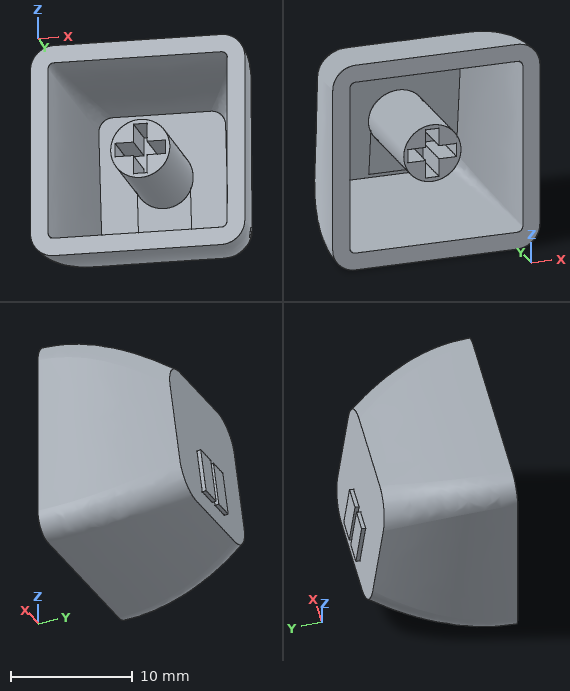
import cadquery as cq
import math

rim_size = 18.1
rim_radius = 2.0
wall = 1.5
tilt = 7.0
cap_height = 11.2
top_width = 12.81
top_length = 12.58
top_radius = 2.66
outer_rise = 5.43

ceiling_width = 10.7
ceiling_length = 10.72
ceiling_radius = 1.2
ceiling_height = cap_height - wall / math.cos(math.radians(tilt))
inner_rise = outer_rise * ceiling_height / cap_height

section_count = 5

stem_diameter = 5.0
stem_inset = 1.0
cross_length = 4.25
cross_width = 1.15
cross_depth = 3.98

block_width = 4.49
block_length = 4.63
legend_center = -2.55
block_thickness = wall / 2
pad_length = 3.98
pad_raise = 0.35
pad_spans = [(-2.2, -0.35), (0.2, 2.19)]


def tilted_plane(height, angle):
    """Plane crossing the stem axis at `height`, leaning by `angle` degrees.

    Its local x is -X and its local y points towards +Z.
    """
    lean = math.radians(angle)
    return cq.Plane(
        origin=(0, height, 0),
        xDir=(-1, 0, 0),
        normal=(0, math.cos(lean), math.sin(lean)),
    )


def domed_solid(base_size, base_radius, end_width, end_length, end_radius, height, rise):
    """Loft whose walls leave the rim square to it and follow a quadratic curve to the tilted end."""
    sections = []
    for index in range(section_count):
        step = index / (section_count - 1)
        blend = step**2
        width = base_size + (end_width - base_size) * blend
        length = base_size + (end_length - base_size) * blend
        radius = base_radius + (end_radius - base_radius) * blend
        section_height = 2 * step * (1 - step) * rise + blend * height
        plane = tilted_plane(section_height, tilt * blend)
        outline = cq.Sketch().rect(width, length).vertices().fillet(radius)
        sections.append(outline.moved(plane.location))
    return cq.Workplane().placeSketch(*sections).loft()


def make_shell():
    outside = domed_solid(
        rim_size, rim_radius, top_width, top_length, top_radius, cap_height, outer_rise
    )
    inside = domed_solid(
        rim_size - 2 * wall,
        rim_radius - wall,
        ceiling_width,
        ceiling_length,
        ceiling_radius,
        ceiling_height,
        inner_rise,
    )
    return outside.cut(inside)


def make_stem():
    end_plane = tilted_plane(stem_inset, 0)
    mid_plate = cap_height - wall / 2
    stem = cq.Workplane(end_plane).circle(stem_diameter / 2).extrude(mid_plate - stem_inset)
    for width, length in [(cross_length, cross_width), (cross_width, cross_length)]:
        stem = stem.cut(cq.Workplane(end_plane).rect(width, length).extrude(cross_depth))
    return stem


def make_legend():
    top_plane = cq.Workplane(tilted_plane(cap_height, tilt)).center(0, legend_center)
    legend = (
        top_plane.workplane(offset=-wall)
        .rect(block_width, block_length)
        .extrude(block_thickness)
    )
    pad_base = top_plane.workplane(offset=block_thickness - wall)
    for left, right in pad_spans:
        pad = (
            pad_base.center(-(left + right) / 2, 0)
            .rect(right - left, pad_length)
            .extrude(wall - block_thickness + pad_raise)
        )
        legend = legend.union(pad)
    return legend


legend = make_legend()
keycap = make_shell().union(make_stem()).cut(legend)

result = cq.Compound.makeCompound([keycap.solids().val(), legend.solids().val()])